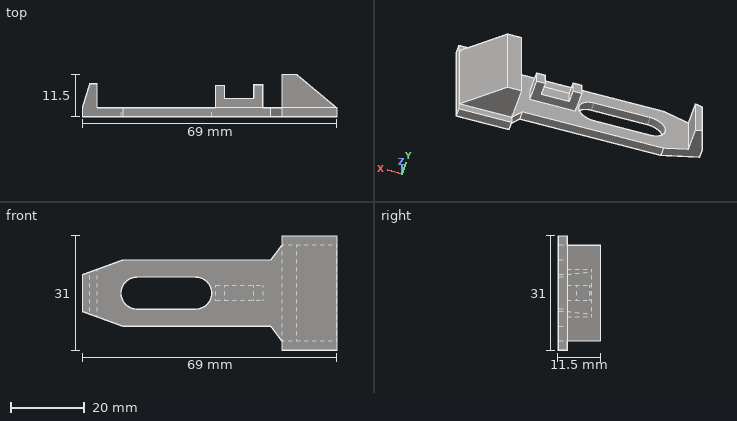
import cadquery as cq
import math

length = 69.0
plate_thickness = 2.5
arm_half_width = 9.0
tip_half_width = 5.0
tip_taper_angle = 20.0
head_half_width = 15.5
head_length = 15.0
shoulder_length = 3.0
wedge_half_width = 13.0

taper_length = (arm_half_width - tip_half_width) / math.tan(math.radians(tip_taper_angle))
head_start = length - head_length
shoulder_start = head_start - shoulder_length

slot_start = 10.5
slot_end = 35.0
slot_width = 8.6

hook_height = 9.0
hook_length = 4.0
hook_top_start = 2.0

clip_start = 36.0
clip_end = 48.9
clip_wall = 2.5
clip_floor = 5.0
clip_left_height = 8.5
clip_right_height = 8.7
clip_half_width = 2.0

wedge_height = 11.5
wedge_setback = 0.2
wedge_top_length = 4.0
wedge_end = length - wedge_setback


def plate_outline():
    """Outline of the plate in XZ, mirrored about the X axis."""
    upper = [
        (0, tip_half_width),
        (taper_length, arm_half_width),
        (shoulder_start, arm_half_width),
        (head_start, wedge_half_width),
        (head_start, head_half_width),
        (length, head_half_width),
    ]
    lower = [(x, -z) for x, z in reversed(upper)]
    return upper + lower


def extrude_back(points, depth):
    """Extrude an XZ outline from the front face toward +Y."""
    return cq.Workplane("XZ").polyline(points).close().extrude(-depth)


def extrude_across(points, half_width):
    """Extrude an XY profile by the same distance to both sides of Z = 0."""
    return cq.Workplane("XY").polyline(points).close().extrude(half_width, both=True)


def make_plate():
    slot_length = slot_end - slot_start
    slot = (
        cq.Workplane("XZ")
        .center((slot_start + slot_end) / 2, 0)
        .slot2D(slot_length, slot_width)
        .extrude(-plate_thickness)
    )
    return extrude_back(plate_outline(), plate_thickness).cut(slot)


def make_hook():
    """Sloped hook whose sides continue the tapered edges of the tip."""
    profile = [
        (0, 0),
        (0, plate_thickness),
        (hook_top_start, hook_height),
        (hook_length, hook_height),
        (hook_length, 0),
    ]
    tip_column = extrude_back(plate_outline(), hook_height)
    return extrude_across(profile, arm_half_width).intersect(tip_column)


def make_clip():
    profile = [
        (clip_start, 0),
        (clip_start, clip_left_height),
        (clip_start + clip_wall, clip_left_height),
        (clip_start + clip_wall, clip_floor),
        (clip_end - clip_wall, clip_floor),
        (clip_end - clip_wall, clip_right_height),
        (clip_end, clip_right_height),
        (clip_end, 0),
    ]
    return extrude_across(profile, clip_half_width)


def make_wedge():
    profile = [
        (head_start, 0),
        (head_start, wedge_height),
        (head_start + wedge_top_length, wedge_height),
        (wedge_end, plate_thickness),
        (wedge_end, 0),
    ]
    return extrude_across(profile, wedge_half_width)


result = make_plate().union(make_hook()).union(make_clip()).union(make_wedge())